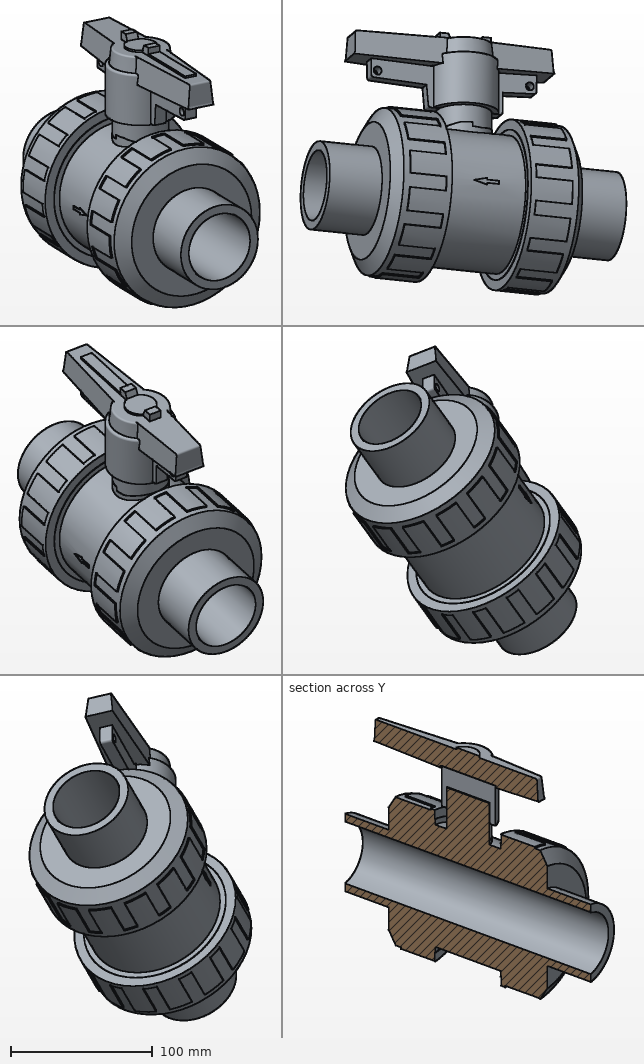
import cadquery as cq
import math

pipe_length = 222.0
pipe_radius = 31.5
bore_radius = 25.0
body_radius = 49.2

nut_radius = 60.75
nut_groove_radius = 59.6
nut_nose_radius = 49.0
nut_inner_x = 29.6
nut_collar_end_x = 33.6
nut_rib_end_x = 60.6
nut_cone_start_x = 65.4
nut_outer_x = 71.9
nut_rib_count = 14
nut_rib_angle = 16.0
nut_first_rib_angle = 5.0
body_flange_radius = 53.5
body_flange_step = 0.3
body_flange_x = nut_inner_x - body_flange_step

arrow_half_length = 9.3
arrow_head_start_x = -0.4
arrow_shaft_half_height = 1.2
arrow_head_half_height = 2.5
arrow_relief = 0.4

stem_radius = 20.0
stem_base_z = pipe_radius
stem_top_z = 81.9
stop_step = 0.15
stop_radius = stem_radius + stop_step
stop_low_z = 49.3
stop_high_z = 52.3
stop_land = 8.0

hub_bottom_z = 65.0
hub_radius = 25.0
hub_shoulder_z = 103.2
hub_shoulder_fillet = 1.8
crown_bottom_radius = 22.3
crown_top_radius = 20.8
crown_fillet = 1.5
hub_slot_width = 11.3

arm_top_z = 115.17
arm_end_bottom_z = 97.2
arm_root_bottom_z = 95.5
arm_root_x = 20.0
arm_rear_x = -64.0
arm_front_x = 85.3
arm_rear_half_width = 12.0
arm_middle_half_width = 15.9
arm_front_half_width = 10.4
arm_side_draft = 2.1
arm_end_draft = 1.5
arm_lip_depth = 0.6
arm_lip_top_z = 98.9
arm_end_fillet = 1.5

web_thickness = 9.2
web_rear_x = -53.2
web_front_x = 70.6
web_end_bottom_z = 83.1
web_root_bottom_z = 81.6
web_leg_half_width = 27.8
web_leg_front_top_x = 29.2
web_corner_radius = 2.0
lock_hole_radius = 2.9
lock_hole_rear_x = -48.1
lock_hole_front_x = 65.8
lock_hole_z = 88.3

cap_radius = 11.6
cap_top_z = 116.6
lug_top_z = 121.17
lug_outer_x = 19.1
lug_top_inner_x = 12.9
lug_bottom_inner_x = 10.7
marker_end_x = web_front_x

overlap = 1.0


def x_cylinder(radius, start_x, end_x):
    """Solid cylinder along the X axis."""
    return cq.Workplane("YZ", origin=(start_x, 0, 0)).circle(radius).extrude(end_x - start_x)


def z_cylinder(radius, bottom_z, top_z):
    """Solid cylinder along the Z axis."""
    return cq.Workplane("XY", origin=(0, 0, bottom_z)).circle(radius).extrude(top_z - bottom_z)


def xz_plate(points, thickness):
    """Plate with an outline given in X-Z, centred on Y = 0."""
    return cq.Workplane("XZ").polyline(points).close().extrude(thickness / 2, both=True)


def make_run():
    """Hollow body of revolution: pipe ends, union nut blanks and valve body."""
    front_half = [
        (body_flange_x, body_radius),
        (body_flange_x, body_flange_radius),
        (nut_inner_x, body_flange_radius),
        (nut_inner_x, nut_radius),
        (nut_cone_start_x, nut_radius),
        (nut_cone_start_x, nut_groove_radius),
        (nut_outer_x, nut_nose_radius),
        (nut_outer_x, pipe_radius),
        (pipe_length / 2, pipe_radius),
        (pipe_length / 2, bore_radius),
    ]
    rear_half = [(-x, radius) for x, radius in reversed(front_half)]
    profile = cq.Workplane("XY").polyline(rear_half + front_half).close()
    return profile.revolve(360, (0, 0, 0), (1, 0, 0))


def make_nut_relief():
    """Cutter for the +X nut: the grooves between its ribs and the plain band beyond them."""
    relief = x_cylinder(nut_radius + overlap, nut_collar_end_x, nut_cone_start_x)
    relief = relief.cut(x_cylinder(nut_groove_radius, nut_collar_end_x, nut_cone_start_x))
    wedge_length = 2 * nut_radius
    wedge_half_width = wedge_length * math.tan(math.radians(nut_rib_angle / 2))
    rib_wedge = (
        cq.Workplane("YZ", origin=(nut_collar_end_x, 0, 0))
        .polyline([(0, 0), (-wedge_length, wedge_half_width), (-wedge_length, -wedge_half_width)])
        .close()
        .extrude(nut_rib_end_x - nut_collar_end_x)
    )
    for index in range(nut_rib_count):
        angle = nut_first_rib_angle + index * 360 / nut_rib_count
        relief = relief.cut(rib_wedge.rotate((0, 0, 0), (1, 0, 0), angle))
    return relief


def make_arrow():
    """Raised arrow pointing along +X on the -Y and +Y flanks of the body."""
    outline = [
        (-arrow_half_length, -arrow_shaft_half_height),
        (arrow_head_start_x, -arrow_shaft_half_height),
        (arrow_head_start_x, -arrow_head_half_height),
        (arrow_half_length, 0),
        (arrow_head_start_x, arrow_head_half_height),
        (arrow_head_start_x, arrow_shaft_half_height),
        (-arrow_half_length, arrow_shaft_half_height),
    ]
    shell = x_cylinder(body_radius + arrow_relief, -arrow_half_length, arrow_half_length)
    shell = shell.cut(x_cylinder(body_radius - overlap, -arrow_half_length, arrow_half_length))
    return xz_plate(outline, 2 * (body_radius + arrow_relief + overlap)).intersect(shell)


def make_stem():
    """Stem with a slightly larger stop collar whose top edge ramps and steps."""
    stop_outline = [
        (-stop_radius, stem_base_z),
        (-stop_radius, stop_high_z),
        (-stop_land, stop_low_z),
        (0, stop_low_z),
        (0, stop_high_z),
        (stop_land, stop_high_z),
        (stop_radius, stop_low_z),
        (stop_radius, stem_base_z),
    ]
    stop = z_cylinder(stop_radius, stem_base_z, stop_high_z)
    stop = stop.intersect(xz_plate(stop_outline, 2 * (stop_radius + overlap)))
    return z_cylinder(stem_radius, stem_base_z, stem_top_z).union(stop)


def make_hub():
    """Round hub with a tapered crown and a slot along X around the web."""
    skirt = z_cylinder(hub_radius, hub_bottom_z, hub_shoulder_z)
    skirt = skirt.faces(">Z").edges().fillet(hub_shoulder_fillet)
    slot_height = arm_end_bottom_z - hub_bottom_z
    slot = cq.Workplane("XY", origin=(0, 0, hub_bottom_z)).box(
        2 * (hub_radius + overlap), hub_slot_width, slot_height, centered=(True, True, False)
    )
    crown = (
        cq.Workplane("XY", origin=(0, 0, hub_shoulder_z))
        .circle(crown_bottom_radius)
        .workplane(offset=arm_top_z - hub_shoulder_z)
        .circle(crown_top_radius)
        .loft()
    )
    crown = crown.faces(">Z").edges().fillet(crown_fillet)
    return skirt.cut(slot).union(crown)


def arm_plan(inset):
    """Plan outline of the double arm, widest at the hub."""
    half_outline = [
        (arm_rear_x, arm_rear_half_width - inset),
        (0, arm_middle_half_width - inset),
        (arm_front_x, arm_front_half_width - inset),
    ]
    mirrored = [(x, -y) for x, y in reversed(half_outline)]
    return half_outline + mirrored


def make_arms():
    """Two tapering arms with drafted sides, lipped ends and an underside that drops to the hub."""
    arms = (
        cq.Workplane("XY", origin=(0, 0, arm_root_bottom_z))
        .polyline(arm_plan(0))
        .close()
        .workplane(offset=arm_top_z - arm_root_bottom_z)
        .polyline(arm_plan(arm_side_draft))
        .close()
        .loft(ruled=True)
    )
    side_outline = [
        (arm_rear_x, arm_end_bottom_z),
        (-arm_root_x, arm_root_bottom_z),
        (arm_root_x, arm_root_bottom_z),
        (arm_front_x, arm_end_bottom_z),
        (arm_front_x - arm_lip_depth, arm_lip_top_z),
        (arm_front_x - arm_end_draft, arm_top_z),
        (arm_rear_x + arm_end_draft, arm_top_z),
        (arm_rear_x + arm_lip_depth, arm_lip_top_z),
    ]
    arms = arms.intersect(xz_plate(side_outline, 2 * (arm_middle_half_width + overlap)))
    arms = arms.faces(">Z").edges("|Y").fillet(arm_end_fillet)
    slot = cq.Workplane("XY", origin=(0, 0, arm_root_bottom_z)).box(
        2 * hub_radius, hub_slot_width, arm_end_bottom_z - arm_root_bottom_z, centered=(True, True, False)
    )
    return arms.cut(slot)


def make_web():
    """Central web below the arms, with a leg inside the hub and two lock holes."""
    web_top_z = (arm_end_bottom_z + arm_top_z) / 2
    outline = [
        (web_rear_x, web_top_z),
        (web_rear_x, web_end_bottom_z),
        (-web_leg_half_width, web_root_bottom_z),
        (-web_leg_half_width, hub_bottom_z),
        (web_leg_half_width, hub_bottom_z),
        (web_leg_front_top_x, web_root_bottom_z),
        (web_front_x, web_end_bottom_z),
        (web_front_x, web_top_z),
    ]
    web = xz_plate(outline, web_thickness)
    end_corners = [(web_rear_x, web_end_bottom_z), (web_front_x, web_end_bottom_z)]
    leg_corners = [(-web_leg_half_width, hub_bottom_z), (web_leg_half_width, hub_bottom_z)]
    for x, z in end_corners + leg_corners:
        corner = cq.selectors.NearestToPointSelector((x, 0, z))
        web = web.edges("|Y").edges(corner).fillet(web_corner_radius)
    hole_centres = [(lock_hole_rear_x, lock_hole_z), (lock_hole_front_x, lock_hole_z)]
    holes = (
        cq.Workplane("XZ")
        .pushPoints(hole_centres)
        .circle(lock_hole_radius)
        .extrude(web_thickness, both=True)
    )
    return web.cut(holes)


def make_top_details():
    """Round cap, two sloped lugs and the marker strip along the front arm."""
    cap = z_cylinder(cap_radius, hub_shoulder_z, cap_top_z)
    lug_outline = [
        (lug_outer_x, hub_shoulder_z),
        (lug_outer_x, lug_top_z),
        (lug_top_inner_x, lug_top_z),
        (lug_bottom_inner_x, cap_top_z),
        (lug_bottom_inner_x, hub_shoulder_z),
    ]
    lug = xz_plate(lug_outline, web_thickness)
    marker_outline = [
        (lug_bottom_inner_x, hub_shoulder_z),
        (marker_end_x, hub_shoulder_z),
        (marker_end_x, cap_top_z),
        (lug_bottom_inner_x, cap_top_z),
    ]
    marker = xz_plate(marker_outline, web_thickness)
    return cap.union(lug).union(lug.mirror("YZ")).union(marker)


def make_handle():
    """Complete handle: hub, arms, web and the details on top."""
    return make_hub().union(make_arms()).union(make_web()).union(make_top_details())


valve = make_run()
front_relief = make_nut_relief()
rear_relief = front_relief.rotate((0, 0, 0), (0, 0, 1), 180)
valve = valve.cut(front_relief).cut(rear_relief)
valve = valve.union(make_arrow())
valve = valve.union(make_stem())
result = valve.union(make_handle())